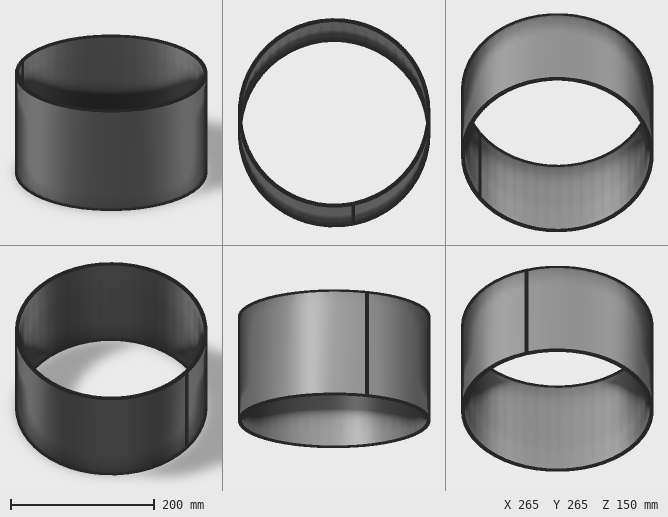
import cadquery as cq

outer_diameter = 265.0
wall_thickness = 2.5
height = 150.0
outer_chamfer = 0.5
inner_chamfer = 0.2
slit_angle = 1.0

outer_radius = outer_diameter / 2
inner_radius = outer_radius - wall_thickness


def make_wall_section():
    """Section of the wall in the XZ plane on the -X side, with all four corners chamfered."""
    return (
        cq.Workplane("XZ")
        .moveTo(-outer_radius, outer_chamfer)
        .lineTo(-outer_radius, height - outer_chamfer)
        .lineTo(-outer_radius + outer_chamfer, height)
        .lineTo(-inner_radius - inner_chamfer, height)
        .lineTo(-inner_radius, height - inner_chamfer)
        .lineTo(-inner_radius, inner_chamfer)
        .lineTo(-inner_radius - inner_chamfer, 0)
        .lineTo(-outer_radius + outer_chamfer, 0)
        .close()
    )


def make_split_sleeve():
    """Sweep the section about Z, from -X through -Y, leaving a narrow slit just past Y = 0."""
    sweep_angle = 360.0 - slit_angle
    axis_start = (0, 0, 0)
    axis_end = (0, 1, 0)
    return make_wall_section().revolve(sweep_angle, axis_start, axis_end)


result = make_split_sleeve()